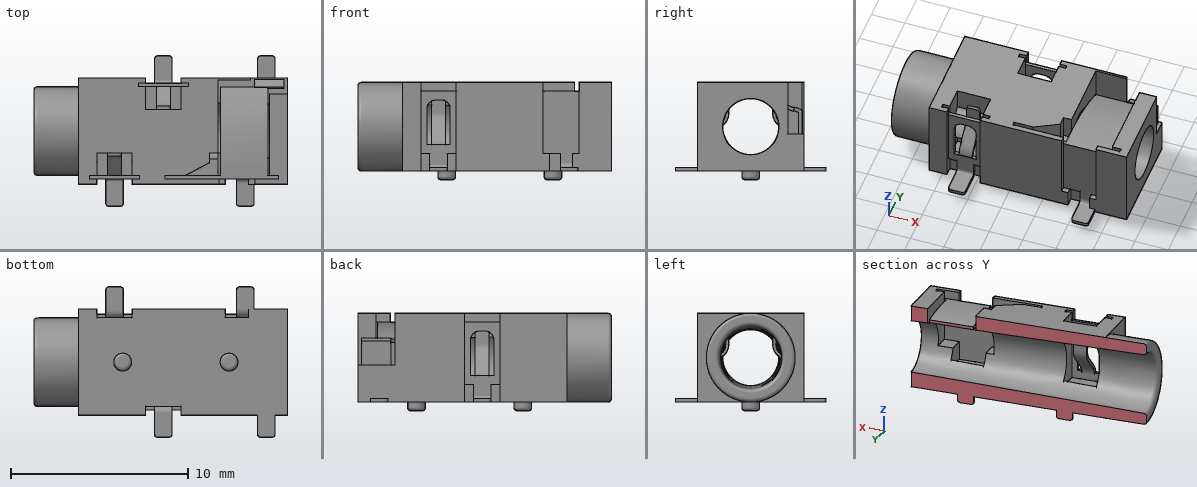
import cadquery as cq
import math


LENGTH = 14.3
NOSE_LENGTH = 2.5
HEIGHT = 5.0
HALF_WIDTH = 3.0
AXIS_Z = HEIGHT / 2
NOSE_RADIUS = HEIGHT / 2
NOSE_ROUNDING = 0.2
ENTRY_RADIUS = 1.8
EXIT_RADIUS = 1.57

PEG_RADIUS = 0.5
PEG_HEIGHT = 0.5
PEG_ROUNDING = 0.19
PEG_CENTERS_X = (5.0, 11.0)

SHEET = 0.2
PLATE_OUTER_Y = 2.7
PLATE_INNER_Y = PLATE_OUTER_Y - SHEET
PLATE_BOTTOM_Z = 0.99
PLATE_TOP_Z = 4.5
FOOT_END_Y = 4.25
FOOT_CORNER = 0.19
LEG_WIDTH = 1.0

TONGUE_CONTACTS = ((4.55, -1), (7.3, 1))
TONGUE_PLATE_WIDTH = 2.82
TONGUE_LEG_BEND = 0.16
POCKET_WIDTH = 1.99
POCKET_INNER_Y = 1.23
WINDOW_WIDTH = 1.32
WINDOW_BOTTOM_Z = 1.49
WINDOW_TOP_Z = 4.0
WINDOW_CORNER = 0.51
TONGUE_WIDTH = 0.79
TONGUE_THICKNESS = 0.19
TONGUE_TOP_Z = 4.08
TONGUE_CORNER = 0.19
UPPER_BEND_Z = 3.26
UPPER_BEND_RADIUS = 0.67
LOWER_BEND_RADIUS = 1.09
RAMP_ANGLE = math.radians(45)

CHAMBER_START_X = 10.38
CHAMBER_END_X = 13.27
CHAMBER_FLOOR_Z = 2.07
REAR_BLOCK_MAX_Y = 2.09
THIN_WALL = 0.13
THIN_WALL_END_X = 12.21
FRONT_OPENING_X = (10.42, 12.47)
LEG_RECESS_X = (10.8, 12.08)
SPRING_POCKET_X = (CHAMBER_START_X, 12.37)
RELIEF_START_X = 8.54
RELIEF_STEP_X = 9.91
RELIEF_STEP_Y = -1.77

SPRING_PLATE_X = (7.4, 13.79)
SPRING_X = (10.51, 13.18)
SPRING_BEND_Y = -1.82
SPRING_END_Y = 2.47
SPRING_END_Z = 3.55
SPRING_LEG_X = 11.41
SPRING_LEG_BEND = 0.27

LIP_X = (12.44, 14.09)
LIP_OUTER_Y = 2.9
LIP_INNER_Y = 2.47
LIP_TOP_Z = 3.6
LIP_SLOPE = math.radians(22)
LIP_FOOT_X = 12.6

BEYOND = 0.15


def block(x_range, y_range, z_range):
    """Axis-aligned box given by its limits on each axis."""
    sizes = [high - low for low, high in (x_range, y_range, z_range)]
    corner = (x_range[0], y_range[0], z_range[0])
    return cq.Workplane("XY").box(*sizes, centered=False).translate(corner)


def span(center, width):
    return (center - width / 2, center + width / 2)


def on_side(solid, side):
    """Solids are drawn on the +Y side and mirrored over for the -Y side."""
    return solid if side > 0 else solid.mirror("XZ")


def extrude_profile(profile, x_range):
    """Extrude a closed YZ profile over the given X range."""
    return profile.extrude(x_range[1] - x_range[0]).translate((x_range[0], 0, 0))


def tapered_bore():
    return (
        cq.Workplane("XY")
        .polyline([(0, 0), (0, ENTRY_RADIUS), (LENGTH, EXIT_RADIUS), (LENGTH, 0)])
        .close()
        .revolve(360, (0, 0), (1, 0))
        .translate((0, 0, AXIS_Z))
    )


def housing_blank():
    body = block((NOSE_LENGTH, LENGTH), (-HALF_WIDTH, HALF_WIDTH), (0, HEIGHT))
    nose = cq.Workplane("YZ", origin=(0, 0, AXIS_Z)).circle(NOSE_RADIUS).extrude(NOSE_LENGTH)
    nose = nose.cut(tapered_bore()).faces("<X").edges().fillet(NOSE_ROUNDING)
    body = body.cut(tapered_bore()).union(nose)
    for center_x in PEG_CENTERS_X:
        peg = cq.Workplane("XY").center(center_x, 0).circle(PEG_RADIUS).extrude(-PEG_HEIGHT)
        body = body.union(peg.faces("<Z").edges().fillet(PEG_ROUNDING))
    return body


def plate_slot(x_range):
    """Slot open at the top that holds the upright plate of a contact."""
    return block(x_range, (PLATE_INNER_Y, PLATE_OUTER_Y), (PLATE_BOTTOM_Z, HEIGHT + BEYOND))


def tongue_pocket(center_x):
    outer_y = HALF_WIDTH + BEYOND
    pocket_x = span(center_x, POCKET_WIDTH)
    pocket = block(pocket_x, (POCKET_INNER_Y, outer_y), (PLATE_BOTTOM_Z, HEIGHT + BEYOND))
    leg_recess = block(pocket_x, (PLATE_INNER_Y, outer_y), (-BEYOND, HEIGHT))
    return pocket.union(leg_recess).union(plate_slot(span(center_x, TONGUE_PLATE_WIDTH)))


def rear_chamber():
    """Open-topped chamber, its side openings and the relief ahead of the spring."""
    top = HEIGHT + BEYOND
    depth = (CHAMBER_FLOOR_Z, top)
    outer_y = HALF_WIDTH + BEYOND
    wall_y = HALF_WIDTH - THIN_WALL
    chamber = block((CHAMBER_START_X, CHAMBER_END_X), (-PLATE_OUTER_Y, wall_y), depth)
    back_opening = block((THIN_WALL_END_X, CHAMBER_END_X), (PLATE_INNER_Y, outer_y), depth)
    rear_corner = block((CHAMBER_END_X, LENGTH + BEYOND), (REAR_BLOCK_MAX_Y, outer_y), depth)
    relief = (
        cq.Workplane("XY", origin=(0, 0, CHAMBER_FLOOR_Z))
        .moveTo(RELIEF_START_X, -PLATE_INNER_Y)
        .lineTo(RELIEF_STEP_X, RELIEF_STEP_Y)
        .lineTo(RELIEF_STEP_X, -POCKET_INNER_Y)
        .lineTo(CHAMBER_START_X, -POCKET_INNER_Y)
        .lineTo(CHAMBER_START_X, -PLATE_INNER_Y)
        .close()
        .extrude(top - CHAMBER_FLOOR_Z)
    )
    front_opening = block(FRONT_OPENING_X, (-outer_y, -PLATE_OUTER_Y), (PLATE_BOTTOM_Z, top))
    leg_recess = block(LEG_RECESS_X, (-outer_y, -PLATE_INNER_Y), (-BEYOND, PLATE_BOTTOM_Z))
    spring_pocket = block(SPRING_POCKET_X, (-PLATE_OUTER_Y, -POCKET_INNER_Y), (PLATE_BOTTOM_Z, top))
    slot = on_side(plate_slot(SPRING_PLATE_X), -1)
    openings = (back_opening, rear_corner, relief, front_opening, leg_recess, spring_pocket, slot)
    for opening in openings:
        chamber = chamber.union(opening)
    return chamber


def leg_and_foot(x_start, bend_radius):
    """Leg running down from a plate and bent outward into a solder foot."""
    outer_radius = bend_radius + SHEET
    center_y = PLATE_OUTER_Y + bend_radius
    center_z = SHEET + bend_radius
    diagonal = math.sqrt(0.5)
    profile = (
        cq.Workplane("YZ")
        .moveTo(PLATE_INNER_Y, PLATE_BOTTOM_Z)
        .lineTo(PLATE_INNER_Y, center_z)
        .threePointArc(
            (center_y - outer_radius * diagonal, center_z - outer_radius * diagonal),
            (center_y, 0),
        )
        .lineTo(FOOT_END_Y, 0)
        .lineTo(FOOT_END_Y, SHEET)
        .lineTo(center_y, SHEET)
        .threePointArc(
            (center_y - bend_radius * diagonal, center_z - bend_radius * diagonal),
            (PLATE_OUTER_Y, center_z),
        )
        .lineTo(PLATE_OUTER_Y, PLATE_BOTTOM_Z)
        .close()
    )
    leg = extrude_profile(profile, (x_start, x_start + LEG_WIDTH))
    return leg.faces(">Y").edges("|Z").fillet(FOOT_CORNER)


def tongue(center_x):
    """Tongue lanced from the plate: a 45 degree inward ramp, then upright beside the bore."""
    upper_y = POCKET_INNER_Y + TONGUE_THICKNESS + UPPER_BEND_RADIUS
    lower_y = PLATE_OUTER_Y - LOWER_BEND_RADIUS
    bend_offset = (UPPER_BEND_RADIUS + LOWER_BEND_RADIUS) / math.cos(RAMP_ANGLE)
    lower_z = UPPER_BEND_Z + (upper_y - lower_y) - bend_offset
    upper_inside = UPPER_BEND_RADIUS + TONGUE_THICKNESS
    lower_inside = LOWER_BEND_RADIUS - TONGUE_THICKNESS

    def upper(radius, angle):
        return (upper_y - radius * math.cos(angle), UPPER_BEND_Z - radius * math.sin(angle))

    def lower(radius, angle):
        return (lower_y + radius * math.cos(angle), lower_z + radius * math.sin(angle))

    profile = (
        cq.Workplane("YZ")
        .moveTo(POCKET_INNER_Y, TONGUE_TOP_Z)
        .lineTo(*upper(upper_inside, 0))
        .threePointArc(upper(upper_inside, RAMP_ANGLE / 2), upper(upper_inside, RAMP_ANGLE))
        .lineTo(*lower(lower_inside, RAMP_ANGLE))
        .threePointArc(lower(lower_inside, RAMP_ANGLE / 2), lower(lower_inside, 0))
        .lineTo(*lower(LOWER_BEND_RADIUS, 0))
        .threePointArc(lower(LOWER_BEND_RADIUS, RAMP_ANGLE / 2), lower(LOWER_BEND_RADIUS, RAMP_ANGLE))
        .lineTo(*upper(UPPER_BEND_RADIUS, RAMP_ANGLE))
        .threePointArc(upper(UPPER_BEND_RADIUS, RAMP_ANGLE / 2), upper(UPPER_BEND_RADIUS, 0))
        .lineTo(POCKET_INNER_Y + TONGUE_THICKNESS, TONGUE_TOP_Z)
        .close()
    )
    strip = extrude_profile(profile, span(center_x, TONGUE_WIDTH))
    return strip.faces(">Z").edges("|Y").fillet(TONGUE_CORNER)


def tongue_contact(center_x):
    plate_y = (PLATE_INNER_Y, PLATE_OUTER_Y)
    plate = block(span(center_x, TONGUE_PLATE_WIDTH), plate_y, (PLATE_BOTTOM_Z, PLATE_TOP_Z))
    window = block(span(center_x, WINDOW_WIDTH), plate_y, (WINDOW_BOTTOM_Z, WINDOW_TOP_Z))
    window = window.faces(">Z").edges("|Y").fillet(WINDOW_CORNER)
    leg = leg_and_foot(center_x - LEG_WIDTH / 2, TONGUE_LEG_BEND)
    return plate.cut(window).union(tongue(center_x)).union(leg)


def spring_contact():
    """Upright plate in the -Y wall with a leaf arching over the chamber."""
    plate = on_side(
        block(SPRING_PLATE_X, (PLATE_INNER_Y, PLATE_OUTER_Y), (PLATE_BOTTOM_Z, PLATE_TOP_Z)), -1
    )
    reach = SPRING_END_Y - SPRING_BEND_Y
    drop = PLATE_TOP_Z - SPRING_END_Z
    radius = (reach**2 + drop**2) / (2 * drop)
    end_angle = math.asin(reach / radius)

    def arc_point(arc_radius, angle):
        center_z = PLATE_TOP_Z - radius
        y = SPRING_BEND_Y + arc_radius * math.sin(angle)
        return (y, center_z + arc_radius * math.cos(angle))

    under = radius - SHEET
    profile = (
        cq.Workplane("YZ")
        .moveTo(-PLATE_OUTER_Y, PLATE_TOP_Z)
        .lineTo(*arc_point(radius, 0))
        .threePointArc(arc_point(radius, end_angle / 2), arc_point(radius, end_angle))
        .lineTo(*arc_point(under, end_angle))
        .threePointArc(arc_point(under, end_angle / 2), arc_point(under, 0))
        .lineTo(-PLATE_OUTER_Y, PLATE_TOP_Z - SHEET)
        .close()
    )
    leaf = extrude_profile(profile, SPRING_X)
    leg = on_side(leg_and_foot(SPRING_LEG_X, SPRING_LEG_BEND), -1)
    return plate.union(leaf).union(leg)


def lip_contact():
    """Upright plate on the +Y side whose top edge leans inward as a sloping lip."""
    rise_y = math.sin(LIP_SLOPE) * SHEET
    rise_z = math.cos(LIP_SLOPE) * SHEET
    outer_z = LIP_TOP_Z - (LIP_OUTER_Y - LIP_INNER_Y) * math.tan(LIP_SLOPE)
    plate_inner_y = LIP_OUTER_Y - SHEET
    under_z = LIP_TOP_Z - rise_z - (plate_inner_y - LIP_INNER_Y + rise_y) * math.tan(LIP_SLOPE)
    profile = (
        cq.Workplane("YZ")
        .moveTo(LIP_INNER_Y, LIP_TOP_Z)
        .lineTo(LIP_OUTER_Y, outer_z)
        .lineTo(LIP_OUTER_Y, CHAMBER_FLOOR_Z)
        .lineTo(plate_inner_y, CHAMBER_FLOOR_Z)
        .lineTo(plate_inner_y, under_z)
        .lineTo(LIP_INNER_Y - rise_y, LIP_TOP_Z - rise_z)
        .close()
    )
    foot = block((LIP_FOOT_X, LIP_FOOT_X + LEG_WIDTH), (LIP_OUTER_Y, FOOT_END_Y), (0, SHEET))
    foot = foot.faces(">Y").edges("|Z").fillet(FOOT_CORNER)
    return extrude_profile(profile, LIP_X).union(foot)


result = housing_blank().cut(rear_chamber())
for contact_x, contact_side in TONGUE_CONTACTS:
    result = result.cut(on_side(tongue_pocket(contact_x), contact_side))
for contact_x, contact_side in TONGUE_CONTACTS:
    result = result.union(on_side(tongue_contact(contact_x), contact_side))
result = result.union(spring_contact()).union(lip_contact())